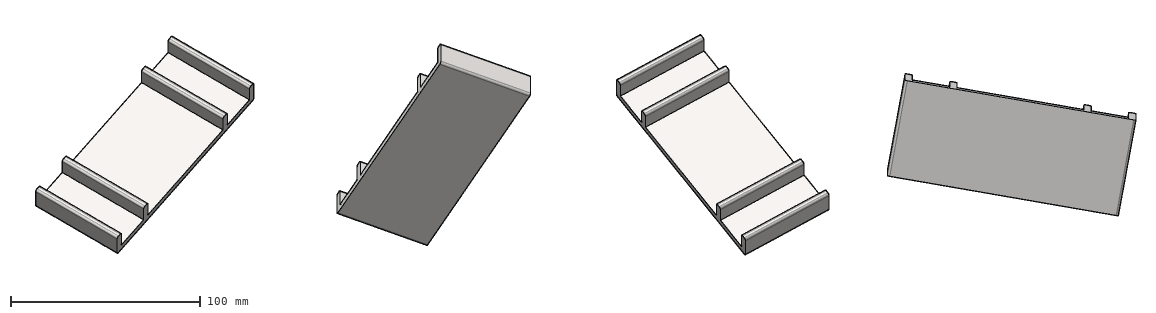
import cadquery as cq

width = 53.0
length = 124.0
height = 15.0
wall = 4.0
channel = 20.1
edge_radius = 1.2

outer_wall_y = (length - wall) / 2
inner_wall_y = outer_wall_y - wall - channel


def block(depth, tall, y=0.0):
    """Full-width block standing on the bottom plane, centred at y."""
    return cq.Workplane("XY").box(width, depth, tall, centered=(True, True, False)).translate((0, y, 0))


body = block(length, wall)
for side in (-1, 1):
    for wall_y in (outer_wall_y, inner_wall_y):
        body = body.union(block(wall, height, side * wall_y))

body = body.faces(">Z").edges("|X").fillet(edge_radius)
result = body.faces("<Z").edges("|X").fillet(edge_radius)